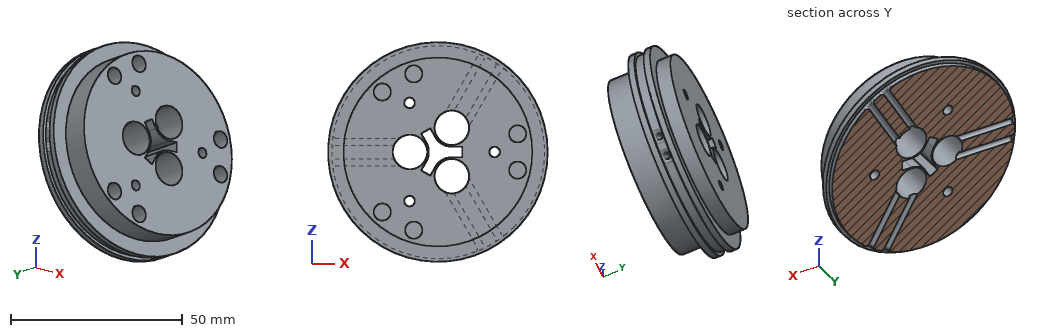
import cadquery as cq
import math

FLANGE_DIAMETER = 64.0
BODY_DIAMETER = 55.0
GROOVE_DIAMETER = 61.95
BODY_LENGTH = 20.0
BACK_STEP = 4.5
LIP_WIDTH = 2.0
GROOVE_WIDTH = 3.0

SECTOR_COUNT = 3
SECTOR_ANGLE = 360 / SECTOR_COUNT

BORE_DIAMETER = 10.0
WALL = 0.545
ARM_WIDTH = 3.0
ARM_REACH = 7.05

PIN_HOLE_DIAMETER = 3.0
PIN_HOLE_RADIUS = 16.5

POCKET_DIAMETER = 5.0
POCKET_DEPTH = 10.0
POCKET_RADIUS = 23.8
POCKET_HALF_ANGLE = 12.8

CROSS_HOLE_DIAMETER = 2.0
CROSS_HOLE_OFFSET = 3.0
MOUTH_ROUND = 1.0

bore_radius = BORE_DIAMETER / 2
relief_radius = bore_radius + WALL
bore_circle = (ARM_WIDTH / 2 + relief_radius) / math.sin(math.radians(SECTOR_ANGLE / 2))
bore_angles = [SECTOR_ANGLE * (i + 0.5) for i in range(SECTOR_COUNT)]
arm_angles = [SECTOR_ANGLE * i for i in range(SECTOR_COUNT)]
back_y = BODY_LENGTH / 2
front_y = -back_y
flange_back_y = back_y - BACK_STEP
groove_back_y = flange_back_y - LIP_WIDTH
groove_front_y = groove_back_y - GROOVE_WIDTH
flange_front_y = groove_front_y - LIP_WIDTH
groove_mid_y = (groove_back_y + groove_front_y) / 2


def polar(radius, angle):
    """Point in the XZ plane at an angle in degrees from +X towards +Z."""
    return radius * math.cos(math.radians(angle)), radius * math.sin(math.radians(angle))


def cylinders(diameter, length, centres):
    """Cylinders parallel to Y, starting at the front face."""
    plane = cq.Workplane("XZ", origin=(0, front_y, 0))
    return plane.pushPoints(centres).circle(diameter / 2).extrude(-length)


def make_body():
    """Turned disc with a grooved flange."""
    body = BODY_DIAMETER / 2
    flange = FLANGE_DIAMETER / 2
    groove = GROOVE_DIAMETER / 2
    profile = [
        (0, front_y), (body, front_y),
        (body, flange_front_y), (flange, flange_front_y),
        (flange, groove_front_y), (groove, groove_front_y),
        (groove, groove_back_y), (flange, groove_back_y),
        (flange, flange_back_y), (body, flange_back_y),
        (body, back_y), (0, back_y),
    ]
    return cq.Workplane("XY").polyline(profile).close().revolve(360, (0, 0, 0), (0, 1, 0))


def make_centre_opening():
    """Three straight arms joined by arcs concentric with the bores."""
    half_width = ARM_WIDTH / 2
    tangent_reach = bore_circle * math.cos(math.radians(SECTOR_ANGLE / 2))

    def on_arm(reach, side, angle):
        x, z = polar(reach, angle)
        dx, dz = polar(side * half_width, angle + 90)
        return x + dx, z + dz

    outline = cq.Workplane("XZ", origin=(0, front_y, 0)).moveTo(*on_arm(tangent_reach, -1, 0))
    for angle in arm_angles:
        outline = outline.lineTo(*on_arm(ARM_REACH, -1, angle))
        outline = outline.lineTo(*on_arm(ARM_REACH, 1, angle))
        outline = outline.lineTo(*on_arm(tangent_reach, 1, angle))
        arc_middle = polar(bore_circle - relief_radius, angle + SECTOR_ANGLE / 2)
        outline = outline.threePointArc(arc_middle, on_arm(tangent_reach, -1, angle + SECTOR_ANGLE))
    return outline.close().extrude(-BODY_LENGTH)


def make_cross_hole(angle, side):
    """Hole from the bore circle out past the groove floor, parallel to the sector's middle plane."""
    hole = cq.Workplane("YZ", origin=(bore_circle, groove_mid_y, side * CROSS_HOLE_OFFSET))
    hole = hole.circle(CROSS_HOLE_DIAMETER / 2).extrude(FLANGE_DIAMETER / 2 - bore_circle)
    return hole.rotate((0, 0, 0), (0, 1, 0), -angle)


def drill_cross_holes(body):
    """Pairs of cross holes, with their mouths rounded where they meet the groove floor."""
    for bore_angle in bore_angles:
        for side in (-1, 1):
            body = body.cut(make_cross_hole(bore_angle, side))
    return body.edges("not (%LINE or %CIRCLE)").fillet(MOUTH_ROUND)


bore_centres = [polar(bore_circle, a) for a in bore_angles]
pin_centres = [polar(PIN_HOLE_RADIUS, a) for a in arm_angles]
pocket_centres = [
    polar(POCKET_RADIUS, a + side * POCKET_HALF_ANGLE) for a in arm_angles for side in (-1, 1)
]

result = drill_cross_holes(make_body())
result = result.cut(cylinders(BORE_DIAMETER, BODY_LENGTH, bore_centres))
result = result.cut(make_centre_opening())
result = result.cut(cylinders(PIN_HOLE_DIAMETER, BODY_LENGTH, pin_centres))
result = result.cut(cylinders(POCKET_DIAMETER, POCKET_DEPTH, pocket_centres))